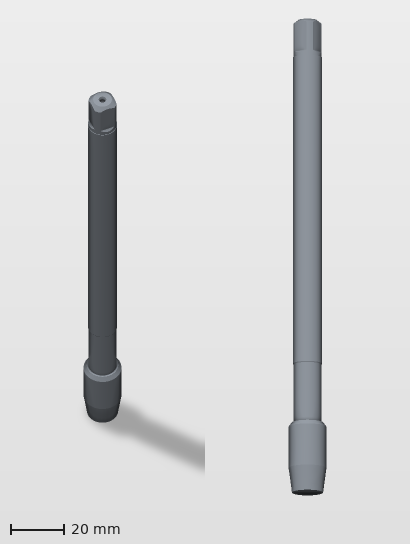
import cadquery as cq

total_length = 180.0

head_diameter = 14.2
lead_tip_diameter = 11.7
shoulder_top_diameter = 11.9
head_length = 26.6
lead_length = 9.4
shoulder_length = 1.6

neck_diameter = 10.6
neck_top = 48.8
shank_diameter = 11.0
shank_lead_in = 0.4
shank_top = 165.8

drive_diameter = 10.6
drive_across_flats = 9.0
flat_bottom = 168.0
flat_runout = (drive_diameter - drive_across_flats) / 2
drive_top_diameter = 7.0
drive_chamfer_height = 1.5

centre_diameter = 2.0
countersink_diameter = 2.9
countersink_depth = 0.9
centre_depth = 1.8
centre_point_depth = centre_diameter / 2


def revolve_profile(points):
    """Solid of revolution about Z from (radius, height) points."""
    return cq.Workplane("XZ").polyline(points).close().revolve(360, (0, 0, 0), (0, 1, 0))


def make_head():
    """Cutting head: tapered lead, cylinder and conical shoulder."""
    outer_radius = head_diameter / 2
    tip_radius = lead_tip_diameter / 2
    shoulder_top_radius = shoulder_top_diameter / 2
    return revolve_profile([
        (0, 0),
        (tip_radius, 0),
        (outer_radius, lead_length),
        (outer_radius, head_length - shoulder_length),
        (shoulder_top_radius, head_length),
        (0, head_length),
    ])


def make_square_envelope():
    """Square prism above the shank, flaring out below the flats."""
    flare_bottom = flat_bottom - flat_runout
    prism = (
        cq.Workplane("XY", origin=(0, 0, flat_bottom))
        .rect(drive_across_flats, drive_across_flats)
        .extrude(total_length - flat_bottom)
    )
    flare = (
        cq.Workplane("XY", origin=(0, 0, flare_bottom))
        .rect(drive_diameter, drive_diameter)
        .workplane(offset=flat_runout)
        .rect(drive_across_flats, drive_across_flats)
        .loft(ruled=True)
    )
    base = (
        cq.Workplane("XY", origin=(0, 0, shank_top))
        .rect(drive_diameter, drive_diameter)
        .extrude(flare_bottom - shank_top)
    )
    return base.union(flare).union(prism)


def make_drive():
    """Round end with a chamfered top, cut to a square by four flats."""
    drive_radius = drive_diameter / 2
    round_end = revolve_profile([
        (0, shank_top),
        (drive_radius, shank_top),
        (drive_radius, total_length - drive_chamfer_height),
        (drive_top_diameter / 2, total_length),
        (0, total_length),
    ])
    return round_end.intersect(make_square_envelope())


def make_centre_hole():
    """Countersunk centre hole with a conical bottom."""
    centre_radius = centre_diameter / 2
    return revolve_profile([
        (0, total_length - centre_depth - centre_point_depth),
        (centre_radius, total_length - centre_depth),
        (centre_radius, total_length - countersink_depth),
        (countersink_diameter / 2, total_length),
        (0, total_length),
    ])


def make_shank():
    """Neck, shank and square drive, standing on the cutting head."""
    neck_radius = neck_diameter / 2
    shank_radius = shank_diameter / 2
    shaft = revolve_profile([
        (0, head_length),
        (neck_radius, head_length),
        (neck_radius, neck_top),
        (shank_radius, neck_top + shank_lead_in),
        (shank_radius, shank_top),
        (0, shank_top),
    ])
    return shaft.union(make_drive()).cut(make_centre_hole())


head = make_head()
shank = make_shank()

result = cq.Compound.makeCompound([head.val(), shank.val()])